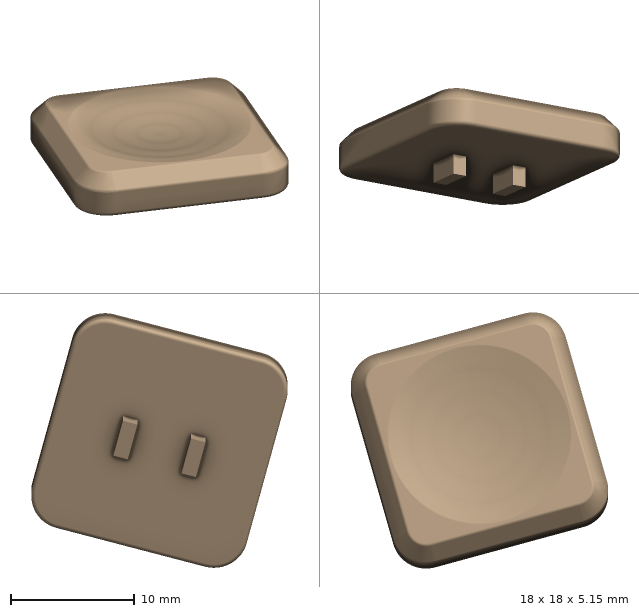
import cadquery as cq

side = 18.0
body_height = 3.5
corner_radius = 2.75
bevel = 1.22
edge_radius = 0.29
bottom_radius = 0.35

dish_diameter = 14.87
dish_depth = 0.86
rim_radius = 0.29

peg_length = 3.0
peg_thickness = 1.2
peg_height = 1.65
peg_spacing = 5.72


def make_body():
    """Rounded square slab with a bevelled top and softened edges."""
    slab = cq.Workplane("XY").rect(side, side).extrude(body_height)
    slab = slab.edges("|Z").fillet(corner_radius)
    slab = slab.faces(">Z").chamfer(bevel)
    bevel_base = body_height - bevel
    bevel_zone = cq.selectors.BoxSelector(
        (-side, -side, bevel_base / 2),
        (side, side, side),
    )
    slab = slab.edges("#Z").edges(bevel_zone).fillet(edge_radius)
    return slab.faces("<Z").edges().fillet(bottom_radius)


def cut_dish(body):
    """Sink a shallow spherical dish and round its rim."""
    dish_radius = dish_diameter / 2
    sphere_radius = (dish_radius**2 + dish_depth**2) / (2 * dish_depth)
    center_height = body_height - dish_depth + sphere_radius
    ball = cq.Workplane("XY").sphere(sphere_radius).translate((0, 0, center_height))
    dished = body.cut(ball)
    largest_circle = cq.selectors.RadiusNthSelector(-1)
    rim = dished.faces(">Z").edges("%CIRCLE").edges(largest_circle)
    return rim.fillet(rim_radius)


def make_pegs():
    """Two rectangular pegs hanging from the underside."""
    return (
        cq.Workplane("XY")
        .rarray(0.18, peg_spacing, 1, 2)
        .rect(peg_length, peg_thickness)
        .extrude(-peg_height)
    )


result = cut_dish(make_body()).union(make_pegs())